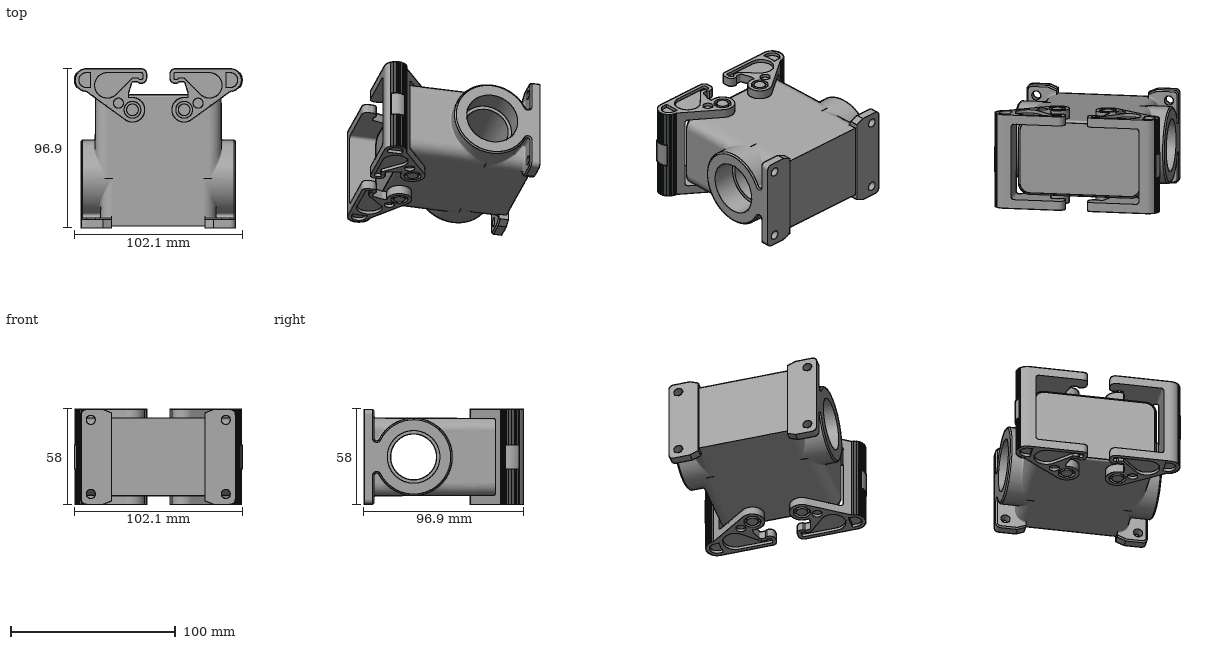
import math

import cadquery as cq


total_width = 102.1
total_length = 96.9
total_height = 58.0

body_bottom_y = 1.3
body_top_y = 80.9
lip_height = 0.4
body_step_y = 30.1
body_height = 47.35
upper_width = 76.8
lower_width = 70.0
body_corner_radius = 7.2
body_draft = 0.2
body_rim_radius = 1.3
body_base_fillet = 0.9

foot_outer_x = 46.9
foot_inner_x = 28.3
foot_thickness = 6.1
foot_half_height = 28.85
foot_corner_radius = 3.0
foot_taper_x = 33.5
foot_taper_z = 26.65
foot_hole_diameter = 5.5
foot_hole_x = 41.0
foot_hole_z = 22.5
edge_chamfer = 0.9

boss_radius = 23.5
boss_y = body_step_y
boss_bore_radius = 16.0
boss_bore_depth = 14.7
through_bore_radius = 13.9
boss_inner_x = 20.0
notch_radius = 1.6

arm_inner_z = 23.4
badge_thickness = 0.4
grip_radius = 6.95
grip_x = total_width / 2 - badge_thickness - grip_radius
grip_y = total_length - grip_radius
grip_bar_inner_x = 39.5
hub_x = 15.7
hub_y = 71.9
hub_radius = 7.45
hook_tip_x = 7.0
hook_radius = 3.4
hook_tip_y = 87.9
hook_ceiling_y = 88.9
hook_lip_x = 11.4
lip_length = 1.1
hook_throat_x = 18.0
hook_throat_y = 82.2
hook_wall_x = 16.3
hook_inner_radius = 1.3
window_corner_radius = 1.8

recess_depth = 2.0
rim_width = 2.4
grip_recess_x = 41.1
pad_recess_x = 31.0
pad_recess_radius = 7.73
pad_hook_end_x = hook_tip_x + rim_width
pad_ceiling_y = hook_ceiling_y + rim_width
pad_bend_x = 15.6
small_recess_x = 24.2
small_recess_y = 75.95
small_recess_radius = 3.05
hub_groove_outer_radius = 5.1
hub_groove_inner_radius = 3.55

flute_count = 9
first_flute_angle = -41.25
flute_angle = 7.5
flute_depth = 0.2
badge_half_angle = 37.0
badge_height = 14.6

overlap = 0.5


def tangent_point(x, y, centre_x, centre_y, radius, side):
    """Where the tangent from (x, y) touches the circle; side +1 turns left of the centre line."""
    distance = math.hypot(x - centre_x, y - centre_y)
    heading = math.atan2(y - centre_y, x - centre_x)
    angle = heading - side * math.acos(radius / distance)
    return (centre_x + radius * math.cos(angle), centre_y + radius * math.sin(angle))


def arc_inset(radius):
    """Distance from each side of a square corner to the middle of its rounding arc."""
    return radius * (1 - math.sqrt(0.5))


def on_grip(radius, degrees):
    """Point at a radius and angle about the grip axis of the -X lever."""
    angle = math.radians(degrees)
    return (-grip_x + radius * math.cos(angle), grip_y + radius * math.sin(angle))


def level(y):
    """Work plane facing +Y at height y."""
    return cq.Workplane(cq.Plane((0, y, 0), (1, 0, 0), (0, 1, 0)))


def rounded_block(y_low, y_high, width, height):
    outline = cq.Sketch().rect(width, height).vertices().fillet(body_corner_radius)
    return level(y_low).placeSketch(outline).extrude(y_high - y_low, taper=body_draft)


def edges_in_box(solid, low, high):
    """Edges whose centre lies between two opposite corners of a box."""
    return solid.edges(cq.selectors.BoxSelector(low, high)).vals()


def make_body():
    draft_slope = math.tan(math.radians(body_draft))
    lower_height = body_height - 2 * draft_slope * (body_step_y - body_bottom_y)
    lower = rounded_block(body_bottom_y, body_step_y, lower_width, body_height)
    upper = rounded_block(body_step_y, body_top_y, upper_width, lower_height)
    upper = upper.faces(">Y").edges().fillet(body_rim_radius)
    lip = upper.faces(">Y").wires().toPending().extrude(lip_height)
    return lower.union(upper).union(lip)


def make_foot():
    foot = (
        level(0)
        .polyline([
            (-foot_outer_x, -foot_half_height),
            (-foot_taper_x, -foot_half_height),
            (-foot_inner_x, -foot_taper_z),
            (-foot_inner_x, foot_taper_z),
            (-foot_taper_x, foot_half_height),
            (-foot_outer_x, foot_half_height),
        ])
        .close()
        .extrude(foot_thickness)
    )
    return foot.edges("|Y and <X").fillet(foot_corner_radius)


def make_entry():
    """Boss, neck and foot share one outer face; the neck sides blend into both."""
    side = cq.Workplane("YZ", origin=(-foot_outer_x, 0, 0))
    boss = side.center(boss_y, 0).circle(boss_radius).extrude(foot_outer_x - boss_inner_x)

    notch_y = foot_thickness + notch_radius
    notch_z = math.sqrt((boss_radius + notch_radius)**2 - (boss_y - notch_y)**2)
    boss_share = boss_radius / (boss_radius + notch_radius)
    contact_y = boss_y - (boss_y - notch_y) * boss_share
    contact_z = notch_z * boss_share
    neck = (
        side
        .polyline([
            (foot_thickness, -notch_z),
            (foot_thickness, notch_z),
            (contact_y, contact_z),
            (contact_y, -contact_z),
        ])
        .close()
        .extrude(foot_outer_x - foot_inner_x)
    )
    notches = (
        side
        .pushPoints([(notch_y, notch_z), (notch_y, -notch_z)])
        .circle(notch_radius)
        .extrude(foot_outer_x - foot_inner_x)
    )
    joined = boss.union(neck.cut(notches)).union(make_foot()).clean()

    face_rim = edges_in_box(
        joined,
        (-foot_outer_x - overlap, foot_thickness - overlap, -foot_half_height),
        (-foot_outer_x + overlap, total_length, foot_half_height))
    foot_rims = edges_in_box(
        joined,
        (-foot_outer_x + overlap, foot_thickness - overlap, foot_taper_z),
        (-foot_inner_x - overlap, foot_thickness + overlap, total_height))
    foot_rims += edges_in_box(
        joined,
        (-foot_outer_x + overlap, foot_thickness - overlap, -total_height),
        (-foot_inner_x - overlap, foot_thickness + overlap, -foot_taper_z))
    return joined.newObject(face_rim + foot_rims).chamfer(edge_chamfer)


def join_entry(body, entry):
    """Add the -X entry and fillet where it leaves the housing.

    The fillet runs on along tangent edges from the crown of the boss and from the foot.
    """
    joined = body.union(entry)
    boss_crown = edges_in_box(
        joined,
        (-upper_width / 2 - overlap, boss_y + boss_bore_radius, -boss_bore_radius),
        (-upper_width / 2 + overlap, boss_y + boss_radius + overlap, boss_bore_radius))
    foot_joints = edges_in_box(
        joined,
        (-lower_width / 2 - overlap, foot_thickness - overlap, -body_height / 2),
        (-lower_width / 2 + overlap, foot_thickness + overlap, body_height / 2))
    return joined.newObject(boss_crown + foot_joints).fillet(body_base_fillet)


def cut_bores(solid):
    side = cq.Workplane("YZ", origin=(-foot_outer_x, boss_y, 0))
    through = side.circle(through_bore_radius).extrude(2 * foot_outer_x)
    entry = side.circle(boss_bore_radius).extrude(boss_bore_depth)
    return solid.cut(through).cut(entry).cut(entry.mirror("YZ"))


def cut_foot_holes(solid):
    places = [(x, z) for x in (-foot_hole_x, foot_hole_x) for z in (-foot_hole_z, foot_hole_z)]
    holes = level(0).pushPoints(places).circle(foot_hole_diameter / 2).extrude(foot_thickness)
    return solid.cut(holes)


def lever_outline(plane):
    corner = arc_inset(hook_radius)
    bend = arc_inset(hook_inner_radius)
    hub_top_y = hub_y + hub_radius
    grip_bottom = (-grip_x, grip_y - grip_radius)
    hub_tangent = tangent_point(*grip_bottom, -hub_x, hub_y, hub_radius, -1)
    return (
        plane
        .moveTo(-grip_x, total_length)
        .lineTo(-hook_tip_x - hook_radius, total_length)
        .threePointArc(
            (-hook_tip_x - corner, total_length - corner),
            (-hook_tip_x, total_length - hook_radius))
        .lineTo(-hook_tip_x, hook_tip_y + hook_radius)
        .threePointArc(
            (-hook_tip_x - corner, hook_tip_y + corner),
            (-hook_tip_x - hook_radius, hook_tip_y))
        .lineTo(-hook_lip_x, hook_tip_y)
        .lineTo(-hook_lip_x - lip_length, hook_ceiling_y)
        .lineTo(-hook_wall_x + hook_inner_radius, hook_ceiling_y)
        .threePointArc(
            (-hook_wall_x + bend, hook_ceiling_y - bend),
            (-hook_wall_x, hook_ceiling_y - hook_inner_radius))
        .lineTo(-hook_throat_x, hook_throat_y)
        .lineTo(-hook_throat_x, hub_top_y)
        .lineTo(-hub_x, hub_top_y)
        .threePointArc((-hub_x + hub_radius, hub_y), hub_tangent)
        .lineTo(*grip_bottom)
        .threePointArc((-grip_x - grip_radius, grip_y), (-grip_x, total_length))
        .close()
    )


def pad_recess(plane):
    """Teardrop that follows the top edge of the lever into the hook."""
    top_y = total_length - rim_width
    end_radius = hook_radius - rim_width
    tip_y = hook_tip_y + rim_width
    corner = arc_inset(end_radius)
    pad_y = top_y - pad_recess_radius
    pad_tangent = tangent_point(
        -pad_bend_x, pad_ceiling_y, -pad_recess_x, pad_y, pad_recess_radius, 1)
    return (
        plane
        .moveTo(-pad_recess_x, top_y)
        .lineTo(-pad_hook_end_x - end_radius, top_y)
        .threePointArc(
            (-pad_hook_end_x - corner, top_y - corner),
            (-pad_hook_end_x, top_y - end_radius))
        .lineTo(-pad_hook_end_x, tip_y + end_radius)
        .threePointArc(
            (-pad_hook_end_x - corner, tip_y + corner),
            (-pad_hook_end_x - end_radius, tip_y))
        .lineTo(-hook_lip_x, tip_y)
        .lineTo(-hook_lip_x - lip_length, pad_ceiling_y)
        .lineTo(-pad_bend_x, pad_ceiling_y)
        .lineTo(*pad_tangent)
        .threePointArc((-pad_recess_x - pad_recess_radius, pad_y), (-pad_recess_x, top_y))
        .close()
    )


def grip_recess(plane):
    """D shape: concentric with the grip, closed by a straight side."""
    radius = grip_radius - rim_width
    return (
        plane
        .moveTo(-grip_recess_x, grip_y + radius)
        .lineTo(-grip_x, grip_y + radius)
        .threePointArc((-grip_x - radius, grip_y), (-grip_x, grip_y - radius))
        .lineTo(-grip_recess_x, grip_y - radius)
        .close()
    )


def lever_recesses():
    """All recesses in the upper (+Z) face of a lever."""
    floor = cq.Workplane("XY", origin=(0, 0, total_height / 2 - recess_depth))
    pad = pad_recess(floor).extrude(recess_depth)
    grip = grip_recess(floor).extrude(recess_depth)
    small = (
        floor
        .center(-small_recess_x, small_recess_y)
        .circle(small_recess_radius)
        .extrude(recess_depth)
    )
    hub_groove = (
        floor
        .center(-hub_x, hub_y)
        .circle(hub_groove_outer_radius)
        .circle(hub_groove_inner_radius)
        .extrude(recess_depth)
    )
    return [pad, grip, small, hub_groove]


def grip_sector(inner_radius, outer_radius, start_angle, end_angle, height):
    """Ring sector about the grip axis; angles are measured from the outward (-X) direction."""
    start = 180 + start_angle
    end = 180 + end_angle
    middle = (start + end) / 2
    return (
        cq.Workplane("XY")
        .moveTo(*on_grip(inner_radius, start))
        .lineTo(*on_grip(outer_radius, start))
        .threePointArc(on_grip(outer_radius, middle), on_grip(outer_radius, end))
        .lineTo(*on_grip(inner_radius, end))
        .threePointArc(on_grip(inner_radius, middle), on_grip(inner_radius, start))
        .close()
        .extrude(height / 2, both=True)
    )


def make_lever():
    lever = lever_outline(cq.Workplane("XY")).extrude(total_height / 2, both=True)

    opening = (
        cq.Workplane("XY")
        .box(grip_bar_inner_x, total_length, 2 * arm_inner_z, centered=(False, False, True))
        .edges("|Y and <X")
        .fillet(window_corner_radius)
        .translate((-grip_bar_inner_x, 0, 0))
    )
    lever = lever.cut(opening)

    for recess in lever_recesses():
        lever = lever.cut(recess).cut(recess.mirror("XY"))

    for index in range(flute_count):
        start = first_flute_angle + 2 * index * flute_angle
        flute = grip_sector(
            grip_radius - flute_depth, grip_radius + overlap, start, start + flute_angle, total_height)
        lever = lever.cut(flute)

    badge = grip_sector(
        grip_radius - overlap,
        grip_radius + badge_thickness,
        -badge_half_angle,
        badge_half_angle,
        badge_height)
    return lever.union(badge)


lever = make_lever()
half_hood = join_entry(make_body(), make_entry())
result = half_hood.union(half_hood.mirror("YZ"))
result = result.union(lever).union(lever.mirror("YZ"))
result = cut_foot_holes(cut_bores(result))